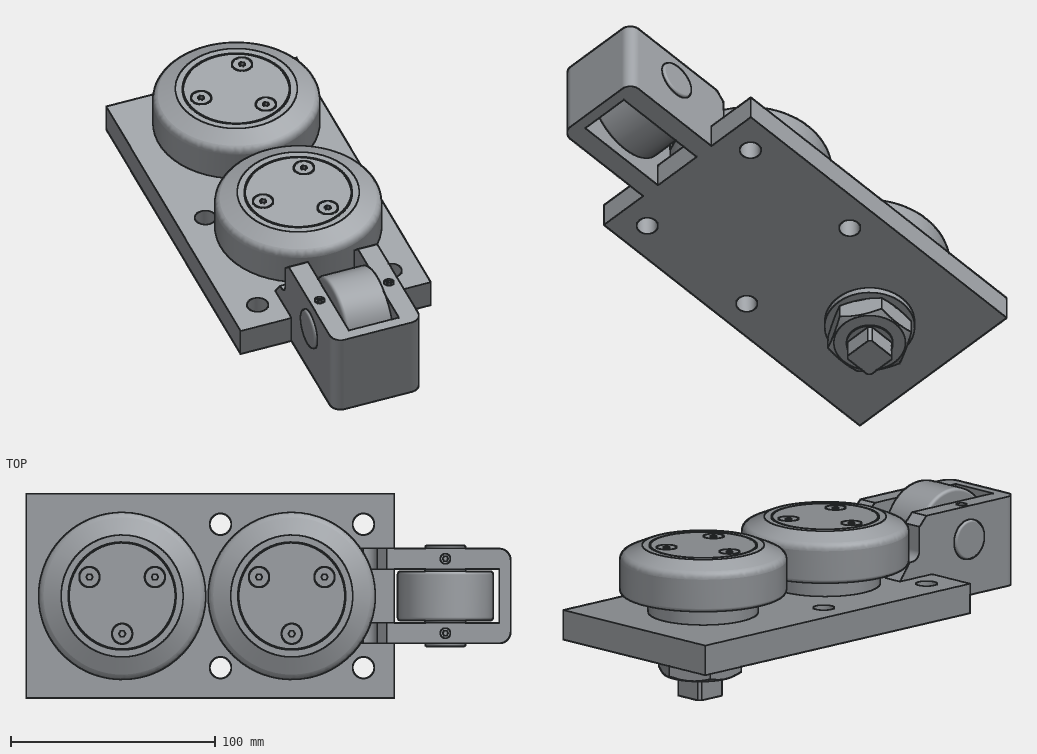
import cadquery as cq
import math


PLATE_LENGTH = 180.1
PLATE_WIDTH = 100.0
PLATE_THICKNESS = 15.0
MOUNT_HOLE_DIA = 10.5
MOUNT_HOLE_XS = (95.0, 165.0)
MOUNT_HOLE_Y = 35.0

ROLLER_XS = (47.0, 129.9)
ROLLER_RADIUS = 81.8 / 2
ROLLER_BOTTOM = 24.6
ROLLER_TOP = 48.5
CROWN_RADIUS = 29.9
SHOULDER_HEIGHT = 43.8
SHOULDER_FILLET = 4.0
ROLLER_BOTTOM_FILLET = 2.0
POST_DIA = 54.0
CAP_DIA = 52.0
CAP_GROOVE_WIDTH = 0.5
SCREW_COUNT = 3
SCREW_CIRCLE_RADIUS = 18.5
SCREW_HEAD_DIA = 9.7
SCREW_GROOVE_WIDTH = 0.2
SCREW_SOCKET_WIDTH = 2.8
SCREW_SOCKET_DEPTH = 2.4
GROOVE_DEPTH = 0.7

BOLT_X = ROLLER_XS[0] - 2.1
WASHER_DIA = 44.0
WASHER_THICKNESS = 3.5
NUT_ACROSS_FLATS = 36.5
NUT_BOTTOM = -15.6
NUT_FACE_RADIUS = 17.5
NUT_CHAMFER_ANGLE = 30
BOLT_DIA = 22.8
BOLT_END = -16.4
SQUARE_WIDTH = 16.5
SQUARE_CORNER_CHAMFER = 1.5
SQUARE_END = -26.8

FORK_END = 237.0
FORK_WIDTH = 46.5
FORK_SLOT_WIDTH = 26.3
FORK_WEB = 5.7
FORK_TOP = 45.0
FORK_CORNER_RADIUS = 5.7
FORK_FRONT = 171.5
FORK_TOP_CHAMFER = 4.7
LEDGE_HEIGHT = 23.5
LEDGE_START = 165.0
LEDGE_FILLET = 5.0
FOOT_START = 158.3
SET_SCREW_DIA = 5.0
SET_SCREW_RECESS = 1.2
SET_SCREW_SOCKET_WIDTH = 2.4
SET_SCREW_SOCKET_DEPTH = 2.0

AXLE_X = 205.0
AXLE_Z = 28.2
AXLE_DIA = 20.0
AXLE_LENGTH = 49.5
AXLE_END_FILLET = 1.2
WHEEL_DIA = 47.0
WHEEL_WIDTH = 24.2
WHEEL_FILLET = 1.7
HUB_DIA = 20.1

HEX_HALF_ANGLE = 30


def cylinder(diameter, bottom, top, x, y=0):
    """Upright cylinder between two heights."""
    return cq.Workplane("XY", origin=(x, y, bottom)).circle(diameter / 2).extrude(top - bottom)


def hexagon(across_flats, bottom, top, x, y=0):
    """Upright hexagonal prism with two corners on the X axis."""
    across_corners = across_flats / math.cos(math.radians(HEX_HALF_ANGLE))
    return cq.Workplane("XY", origin=(x, y, bottom)).polygon(6, across_corners).extrude(top - bottom)


def ring_groove(inner_dia, width, x, y=0):
    """Cutter for a narrow ring groove in the top face of a roller."""
    bottom = ROLLER_TOP - GROOVE_DEPTH
    outer = cylinder(inner_dia + 2 * width, bottom, ROLLER_TOP, x, y)
    return outer.cut(cylinder(inner_dia, bottom, ROLLER_TOP, x, y))


def axle_cylinder(diameter, length):
    """Cylinder on the axle line, centred on Y = 0."""
    plane = cq.Workplane("XZ", origin=(AXLE_X, length / 2, AXLE_Z))
    return plane.circle(diameter / 2).extrude(length)


def make_plate():
    plate = cq.Workplane("XY").box(PLATE_LENGTH, PLATE_WIDTH, PLATE_THICKNESS, centered=(False, True, False))
    holes = [(x, side * MOUNT_HOLE_Y) for x in MOUNT_HOLE_XS for side in (-1, 1)]
    for x, y in holes:
        plate = plate.cut(cylinder(MOUNT_HOLE_DIA, 0, PLATE_THICKNESS, x, y))
    return plate


def make_roller(x):
    """Crowned roller on its post, with a capped top face held by three screws."""
    outline = [
        (0, ROLLER_BOTTOM),
        (ROLLER_RADIUS, ROLLER_BOTTOM),
        (ROLLER_RADIUS, SHOULDER_HEIGHT),
        (CROWN_RADIUS, ROLLER_TOP),
        (0, ROLLER_TOP),
    ]
    roller = cq.Workplane("XZ", origin=(x, 0, 0)).polyline(outline).close().revolve(360, (0, 0), (0, 1))
    roller = roller.faces("<Z").edges().fillet(ROLLER_BOTTOM_FILLET)
    shoulder_centre = (x, 0, SHOULDER_HEIGHT)
    roller = roller.edges(cq.selectors.NearestToPointSelector(shoulder_centre)).fillet(SHOULDER_FILLET)
    roller = roller.union(cylinder(POST_DIA, PLATE_THICKNESS, ROLLER_BOTTOM, x))

    roller = roller.cut(ring_groove(CAP_DIA, CAP_GROOVE_WIDTH, x))
    for index in range(SCREW_COUNT):
        angle = math.radians(-90 + index * 360 / SCREW_COUNT)
        screw_x = x + SCREW_CIRCLE_RADIUS * math.cos(angle)
        screw_y = SCREW_CIRCLE_RADIUS * math.sin(angle)
        roller = roller.cut(ring_groove(SCREW_HEAD_DIA, SCREW_GROOVE_WIDTH, screw_x, screw_y))
        socket_floor = ROLLER_TOP - SCREW_SOCKET_DEPTH
        roller = roller.cut(hexagon(SCREW_SOCKET_WIDTH, socket_floor, ROLLER_TOP, screw_x, screw_y))
    return roller


def make_nut():
    """Hexagon nut with both ends turned to a cone."""
    top = -WASHER_THICKNESS
    rim_radius = NUT_ACROSS_FLATS / 2 / math.cos(math.radians(HEX_HALF_ANGLE))
    cone_height = (rim_radius - NUT_FACE_RADIUS) * math.tan(math.radians(NUT_CHAMFER_ANGLE))
    outline = [
        (0, NUT_BOTTOM),
        (NUT_FACE_RADIUS, NUT_BOTTOM),
        (rim_radius, NUT_BOTTOM + cone_height),
        (rim_radius, top - cone_height),
        (NUT_FACE_RADIUS, top),
        (0, top),
    ]
    turned = cq.Workplane("XZ", origin=(BOLT_X, 0, 0)).polyline(outline).close().revolve(360, (0, 0), (0, 1))
    return hexagon(NUT_ACROSS_FLATS, NUT_BOTTOM, top, BOLT_X).intersect(turned)


def make_bolt_end():
    """Washer, nut, round bolt end and the square key below it."""
    washer = cylinder(WASHER_DIA, -WASHER_THICKNESS, 0, BOLT_X)
    bolt = cylinder(BOLT_DIA, BOLT_END, 0, BOLT_X)
    square = cq.Workplane("XY", origin=(BOLT_X, 0, SQUARE_END)).rect(SQUARE_WIDTH, SQUARE_WIDTH)
    square = square.extrude(-SQUARE_END).edges("|Z").chamfer(SQUARE_CORNER_CHAMFER)
    return washer.union(make_nut()).union(bolt).union(square)


def make_fork():
    """U-shaped bracket, open towards the rollers, with axle bores and set screws in its arms."""
    profile = (
        cq.Workplane("XZ", origin=(0, FORK_WIDTH / 2, 0))
        .moveTo(PLATE_LENGTH, 0)
        .lineTo(FORK_END, 0)
        .lineTo(FORK_END, FORK_TOP)
        .lineTo(FORK_FRONT + FORK_TOP_CHAMFER, FORK_TOP)
        .lineTo(FORK_FRONT, FORK_TOP - FORK_TOP_CHAMFER)
        .lineTo(FORK_FRONT, LEDGE_HEIGHT + LEDGE_FILLET)
        .radiusArc((FORK_FRONT - LEDGE_FILLET, LEDGE_HEIGHT), LEDGE_FILLET)
        .lineTo(LEDGE_START, LEDGE_HEIGHT)
        .lineTo(FOOT_START, PLATE_THICKNESS)
        .lineTo(PLATE_LENGTH, PLATE_THICKNESS)
        .close()
    )
    fork = profile.extrude(FORK_WIDTH)
    fork = fork.edges("|Z and >X").fillet(FORK_CORNER_RADIUS)
    slot_length = FORK_END - FORK_WEB - FOOT_START
    slot = cq.Workplane("XY", origin=(FOOT_START, 0, 0)).box(
        slot_length, FORK_SLOT_WIDTH, FORK_TOP, centered=(False, True, False)
    )
    fork = fork.cut(slot).cut(axle_cylinder(AXLE_DIA, FORK_WIDTH))

    screw_y = (FORK_WIDTH + FORK_SLOT_WIDTH) / 4
    head = FORK_TOP - SET_SCREW_RECESS
    for y in (-screw_y, screw_y):
        fork = fork.cut(cylinder(SET_SCREW_DIA, head, FORK_TOP, AXLE_X, y))
        fork = fork.cut(hexagon(SET_SCREW_SOCKET_WIDTH, head - SET_SCREW_SOCKET_DEPTH, head, AXLE_X, y))
    return fork


def make_carriage():
    """Plate with its two rollers, the eccentric bolt and the fork, as one body."""
    carriage = make_plate().union(make_bolt_end()).union(make_fork())
    for x in ROLLER_XS:
        carriage = carriage.union(make_roller(x))
    return carriage


def make_guide_wheel():
    """Guide wheel with its hub and axle, as one body."""
    wheel = axle_cylinder(WHEEL_DIA, WHEEL_WIDTH).edges().fillet(WHEEL_FILLET)
    hub = axle_cylinder(HUB_DIA, FORK_SLOT_WIDTH)
    axle = axle_cylinder(AXLE_DIA, AXLE_LENGTH).edges("%CIRCLE").fillet(AXLE_END_FILLET)
    return wheel.union(hub).union(axle)


carriage = make_carriage()
guide_wheel = make_guide_wheel()
result = cq.Compound.makeCompound([carriage.val(), guide_wheel.val()])